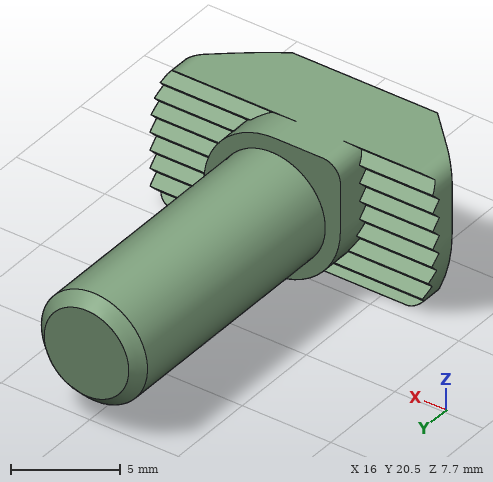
import cadquery as cq
import math

total_length = 20.5
shank_diameter = 6.0
shank_chamfer = 0.62

head_length = 16.0
head_width = 7.7
head_height = 4.5
head_bevel = 3.0
corner_radius = 1.0

collar_top = 6.0
collar_width = head_width
collar_round_radius = 4.0

tooth_pitch = 1.0
tooth_depth = tooth_pitch / 2
grooves_per_side = 4

half_length = head_length / 2
half_width = head_width / 2
half_collar = collar_width / 2


def half_turn(shape):
    """Copy of a shape turned half a turn about the bolt axis."""
    return shape.rotate((0, 0, 0), (0, 1, 0), 180)


def quarter_profile():
    """Beveled section of the -X half of the head, in the XY plane."""
    return cq.Workplane("XY").polyline([
        (0, 0),
        (head_bevel - half_length, 0),
        (-half_length, head_bevel),
        (-half_length, head_height),
        (0, head_height),
    ]).close()


def head_outline():
    """Prism with two square ends and two swept ends, all corners rounded."""
    center_z = half_width - corner_radius
    center_distance = half_length - corner_radius
    center_x = math.sqrt(center_distance**2 - center_z**2)
    touch_scale = half_length / center_distance
    touch = (center_x * touch_scale, center_z * touch_scale)
    sweep_angle = math.atan2(center_z, center_x)
    sweep_mid = (half_length * math.cos(sweep_angle / 2), half_length * math.sin(sweep_angle / 2))
    round_angle = (sweep_angle + math.pi / 2) / 2
    round_mid = (
        center_x + corner_radius * math.cos(round_angle),
        center_z + corner_radius * math.sin(round_angle),
    )
    diagonal = corner_radius * (1 - math.sqrt(0.5))

    outline = cq.Workplane("XZ").moveTo(half_length, 0)
    for side in (1, -1):
        outline = (
            outline
            .threePointArc((side * sweep_mid[0], side * sweep_mid[1]), (side * touch[0], side * touch[1]))
            .threePointArc((side * round_mid[0], side * round_mid[1]), (side * center_x, side * half_width))
            .lineTo(side * (corner_radius - half_length), side * half_width)
            .threePointArc(
                (side * (diagonal - half_length), side * (half_width - diagonal)),
                (-side * half_length, side * center_z),
            )
            .lineTo(-side * half_length, 0)
        )
    return outline.close().extrude(-head_height)


def make_head():
    straight_quarter = quarter_profile().extrude(half_width)
    swept_quarter = quarter_profile().revolve(90, (0, 0, 0), (0, -1, 0))
    half = straight_quarter.union(swept_quarter)
    return half.union(half_turn(half)).intersect(head_outline())


def cut_teeth(head):
    """Cut V grooves along X into the clamping face of the head."""
    half_pitch = tooth_pitch / 2
    for index in range(-grooves_per_side, grooves_per_side):
        z = (index + 0.5) * tooth_pitch
        groove = (
            cq.Workplane("YZ")
            .polyline([
                (head_height, z - half_pitch),
                (head_height - tooth_depth, z),
                (head_height, z + half_pitch),
            ])
            .close()
            .extrude(half_length, both=True)
        )
        head = head.cut(groove)
    return head


def make_collar():
    """Square collar with two tight and two large corners, alternating."""
    collar = cq.Workplane("XZ").rect(collar_width, collar_width).extrude(-collar_top)
    for x_side in (-1, 1):
        for z_side in (-1, 1):
            radius = collar_round_radius if x_side == z_side else corner_radius
            corner = (x_side * half_collar, collar_top / 2, z_side * half_collar)
            collar = collar.edges(cq.NearestToPointSelector(corner)).fillet(radius)
    return collar


def make_shank():
    return (
        cq.Workplane("XZ", origin=(0, head_bevel, 0))
        .circle(shank_diameter / 2)
        .extrude(-(total_length - head_bevel))
        .faces(">Y")
        .chamfer(shank_chamfer)
    )


result = cut_teeth(make_head()).union(make_collar()).union(make_shank())